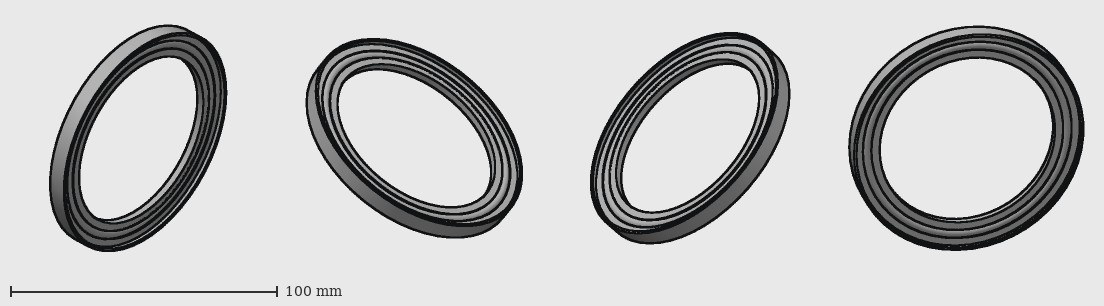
import cadquery as cq

outer_diameter = 89.0
lip_inner_diameter = 87.0
seal_outer_diameter = 81.0
seal_inner_diameter = 74.4
bore_diameter = 68.0
lip_width = 7.0
web_width = 3.2

seal_section_diameter = 4.0
seal_center_radius = (seal_outer_diameter + seal_inner_diameter) / 4


def make_ring(outside, inside, width):
    """Plain ring around the X axis, centred on X = 0."""
    return (
        cq.Workplane("YZ")
        .circle(outside / 2)
        .circle(inside / 2)
        .extrude(width)
        .translate((-width / 2, 0, 0))
    )


def make_outer_ring():
    """Thin web with a wider lip around its rim, reaching past both web faces."""
    lip = make_ring(outer_diameter, lip_inner_diameter, lip_width)
    web = make_ring(lip_inner_diameter, seal_outer_diameter, web_width)
    return lip.union(web).cut(make_seal())


def make_inner_ring():
    """Flat ring whose rim is grooved to hold the seal."""
    return make_ring(seal_inner_diameter, bore_diameter, web_width).cut(make_seal())


def make_seal():
    """O-ring seated in the grooves of the inner and outer rings."""
    return cq.Workplane(cq.Solid.makeTorus(
        seal_center_radius,
        seal_section_diameter / 2,
        cq.Vector(0, 0, 0),
        cq.Vector(1, 0, 0),
    ))


outer_ring = make_outer_ring()
seal = make_seal()
inner_ring = make_inner_ring()

result = cq.Compound.makeCompound([outer_ring.val(), seal.val(), inner_ring.val()])